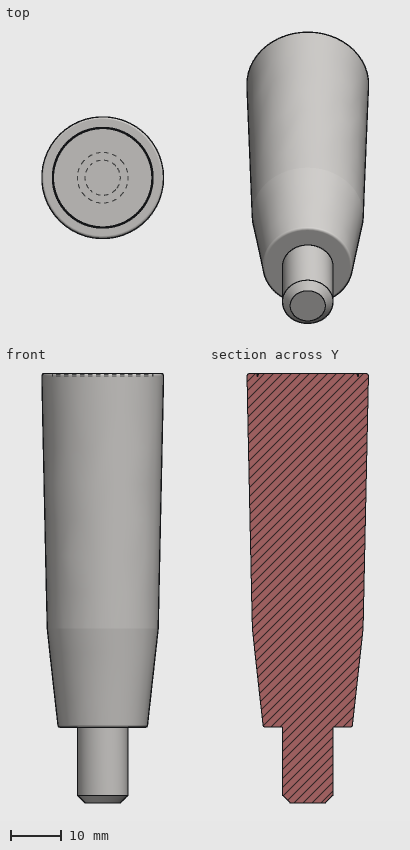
import cadquery as cq

total_height = 85.0
top_diameter = 24.1
edge_radius = 0.5

grip_bottom = 15.0
grip_bottom_diameter = 17.7
taper_break = 34.5
taper_break_diameter = 22.0

pin_diameter = 10.0
pin_chamfer = 1.5

groove_outer_diameter = 20.0
groove_inner_diameter = 19.8
cap_chamfer = 0.2
groove_depth = 0.5


def make_grip():
    """Revolve the two-stage taper and round both end rims."""
    outline = (
        cq.Workplane("XZ")
        .moveTo(0, grip_bottom)
        .lineTo(grip_bottom_diameter / 2, grip_bottom)
        .lineTo(taper_break_diameter / 2, taper_break)
        .lineTo(top_diameter / 2, total_height - edge_radius)
        .radiusArc((top_diameter / 2 - edge_radius, total_height), -edge_radius)
        .lineTo(0, total_height)
        .close()
    )
    grip = outline.revolve(360, (0, 0), (0, 1))
    return grip.faces("<Z").edges().fillet(edge_radius)


def make_pin():
    """Pin running into the grip, chamfered at its free end."""
    pin = cq.Workplane("XY").circle(pin_diameter / 2).extrude(taper_break)
    return pin.faces("<Z").edges().chamfer(pin_chamfer)


def make_cap_groove():
    """Ring separating the flush, chamfered end cap from the grip."""
    floor = cq.Workplane("XY", origin=(0, 0, total_height - groove_depth))
    bore = floor.circle(groove_outer_diameter / 2).extrude(groove_depth)
    cap = floor.circle(groove_inner_diameter / 2).extrude(groove_depth)
    return bore.cut(cap.faces(">Z").edges().chamfer(cap_chamfer))


result = make_grip().union(make_pin()).cut(make_cap_groove())